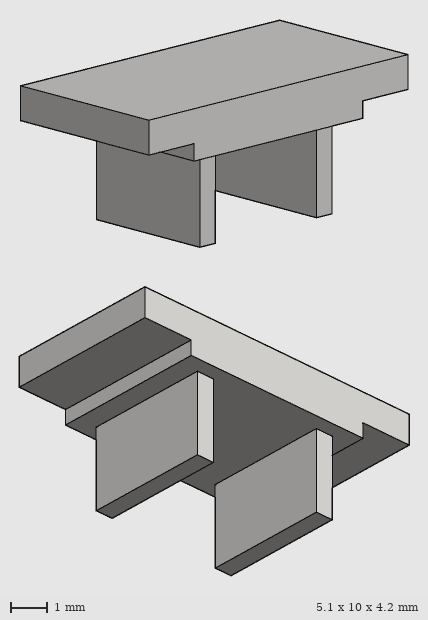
import cadquery as cq

plate_width = 5.1
plate_length = 10.0
plate_thickness = 1.0

step_length = 6.5
step_depth = 0.5

leg_width = 4.1
leg_thickness = 0.6
leg_height = 2.7
leg_outer_span = 5.1

step_bottom = leg_height
plate_bottom = step_bottom + step_depth
leg_offset = (leg_outer_span - leg_thickness) / 2


def block(width, length, height, bottom, center_y=0.0):
    """Box centred on X, standing on the given Z level."""
    return (
        cq.Workplane("XY", origin=(0, center_y, bottom))
        .box(width, length, height, centered=(True, True, False))
    )


plate = block(plate_width, plate_length, plate_thickness, plate_bottom)
step = block(plate_width, step_length, step_depth, step_bottom)

result = plate.union(step)
for side in (-1, 1):
    leg = block(leg_width, leg_thickness, leg_height, 0.0, side * leg_offset)
    result = result.union(leg)